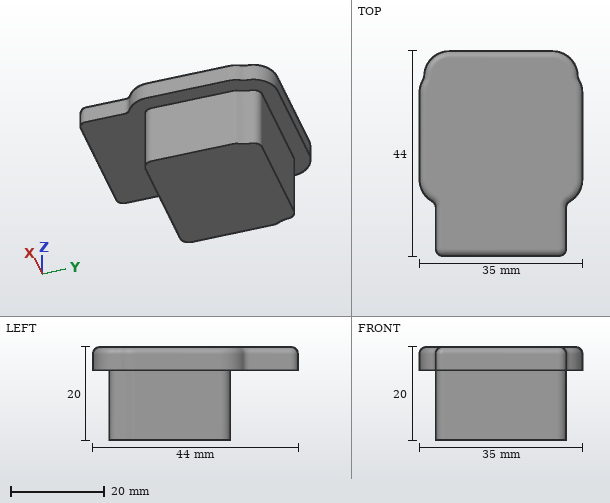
import cadquery as cq
import math

plug_width = 28.0
plug_length = 26.0
plug_height = 15.0
plug_corner_radius = 2.0
plug_hollow_radius = 6.0

rear_inset = 1.0
side_setback = 3.5

overhang = 3.5
cap_thickness = 5.0
cap_corner_radius = plug_corner_radius + overhang
cap_hollow_radius = plug_hollow_radius - overhang
cap_edge_radius = 1.5

tab_half_width = plug_width / 2
tab_reach = 11.0
tab_blend_radius = 1.6

rear_center = (
    plug_width / 2 - rear_inset - plug_corner_radius,
    plug_length / 2 - plug_corner_radius,
)
side_center = (rear_center[0] + rear_inset, rear_center[1] - side_setback)
front_center = (side_center[0], -plug_length / 2 + plug_corner_radius)

tab_front = -plug_length / 2 - overhang - tab_reach


def toward(center, target, distance):
    """Point at the given distance from center in the direction of target."""
    dx = target[0] - center[0]
    dy = target[1] - center[1]
    scale = distance / math.hypot(dx, dy)
    return (center[0] + dx * scale, center[1] + dy * scale)


def arc(outline, start, end, center, radius):
    """Add the shorter arc from start to end about center."""
    chord_middle = ((start[0] + end[0]) / 2, (start[1] + end[1]) / 2)
    return outline.threePointArc(toward(center, chord_middle, radius), end)


def rear_and_side(corner_radius, hollow_radius):
    """Half outline from the middle of the rear edge to the front end of the straight side."""
    span_x = side_center[0] - rear_center[0]
    span_y = side_center[1] - rear_center[1]
    span = math.hypot(span_x, span_y)
    apex = math.sqrt((corner_radius + hollow_radius) ** 2 - (span / 2) ** 2)
    hollow_center = (
        rear_center[0] + span_x / 2 - apex * span_y / span,
        rear_center[1] + span_y / 2 + apex * span_x / span,
    )

    rear_y = rear_center[1] + corner_radius
    rear_edge_end = (rear_center[0], rear_y)
    hollow_start = toward(rear_center, hollow_center, corner_radius)
    hollow_end = toward(side_center, hollow_center, corner_radius)
    side_start = (side_center[0] + corner_radius, side_center[1])

    outline = cq.Workplane("XY").moveTo(0, rear_y).lineTo(*rear_edge_end)
    outline = arc(outline, rear_edge_end, hollow_start, rear_center, corner_radius)
    outline = arc(outline, hollow_start, hollow_end, hollow_center, hollow_radius)
    outline = arc(outline, hollow_end, side_start, side_center, corner_radius)
    return outline.lineTo(front_center[0] + corner_radius, front_center[1])


def mirrored_solid(half_outline, height):
    """Close the half outline along the Y axis, extrude it and add its mirror image."""
    half = half_outline.close().extrude(height)
    return half.union(half.mirror("YZ")).clean()


def make_plug():
    side_end = (front_center[0] + plug_corner_radius, front_center[1])
    front_y = front_center[1] - plug_corner_radius
    front_start = (front_center[0], front_y)

    outline = rear_and_side(plug_corner_radius, plug_hollow_radius)
    outline = arc(outline, side_end, front_start, front_center, plug_corner_radius)
    return mirrored_solid(outline.lineTo(0, front_y), plug_height)


def make_cap():
    center_distance = cap_corner_radius + tab_blend_radius
    neck_x = tab_half_width + tab_blend_radius
    neck_drop = math.sqrt(center_distance**2 - (neck_x - front_center[0]) ** 2)
    neck_center = (neck_x, front_center[1] - neck_drop)

    side_end = (front_center[0] + cap_corner_radius, front_center[1])
    neck_start = toward(front_center, neck_center, cap_corner_radius)
    neck_end = (tab_half_width, neck_center[1])
    tab_center = (tab_half_width - tab_blend_radius, tab_front + tab_blend_radius)
    tab_side_end = (tab_half_width, tab_center[1])
    tab_front_start = (tab_center[0], tab_front)

    outline = rear_and_side(cap_corner_radius, cap_hollow_radius)
    outline = arc(outline, side_end, neck_start, front_center, cap_corner_radius)
    outline = arc(outline, neck_start, neck_end, neck_center, tab_blend_radius)
    outline = outline.lineTo(*tab_side_end)
    outline = arc(outline, tab_side_end, tab_front_start, tab_center, tab_blend_radius)
    cap = mirrored_solid(outline.lineTo(0, tab_front), cap_thickness)
    cap = cap.faces(">Z").edges().fillet(cap_edge_radius)
    return cap.translate((0, 0, plug_height))


result = make_plug().union(make_cap())